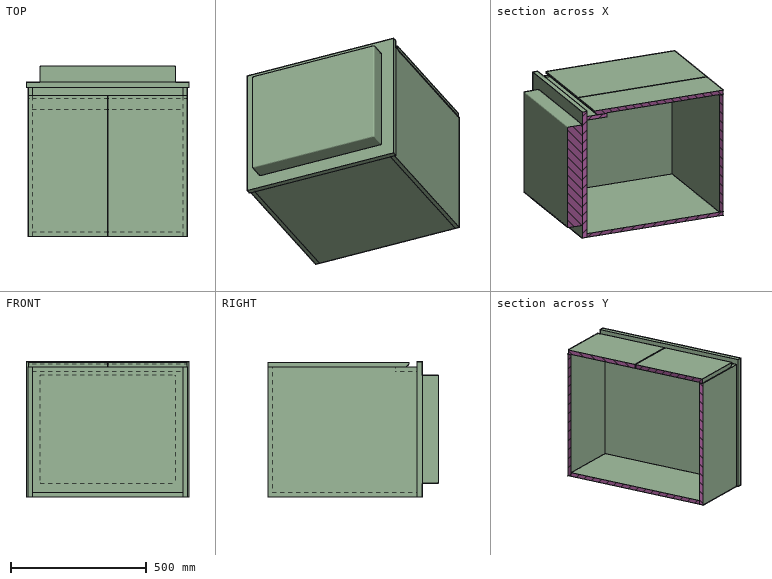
import cadquery as cq

TOTAL_LENGTH = 630.0

COUNTER_WIDTH = 600.0
COUNTER_DEPTH = 500.0
COUNTER_THICKNESS = 20.0

BASIN_WIDTH = 500.0
BASIN_DEPTH = 400.0
BASIN_HEIGHT = 60.0
BASIN_EDGE_RADIUS = 5.0

PANEL_THICKNESS = 16.5
COUNTER_OVERHANG = 5.5
RAIL_HEIGHT = 80.0

DOOR_THICKNESS = 17.0
DOOR_LENGTH = 521.0
DOOR_SIDE_REVEAL = 2.5
DOOR_GAP = 3.0
DOOR_SETBACK = 3.0
DOOR_BEVEL = 11.0

CARCASS_LENGTH = TOTAL_LENGTH - COUNTER_THICKNESS - BASIN_HEIGHT
CARCASS_WIDTH = COUNTER_WIDTH - 2 * COUNTER_OVERHANG
CARCASS_DEPTH = COUNTER_DEPTH - DOOR_SETBACK - DOOR_THICKNESS
INNER_WIDTH = CARCASS_WIDTH - 2 * PANEL_THICKNESS
INNER_DEPTH = CARCASS_DEPTH - PANEL_THICKNESS
DOOR_WIDTH = (CARCASS_WIDTH - DOOR_GAP) / 2 - DOOR_SIDE_REVEAL


def block(x_min, y_min, z_min, width, length, depth):
    """Box with its lowest corner at the given point and sizes along X, Y and Z."""
    return cq.Workplane("XY").box(width, length, depth, centered=False).translate((x_min, y_min, z_min))


def make_countertop():
    return block(-COUNTER_WIDTH / 2, CARCASS_LENGTH, 0, COUNTER_WIDTH, COUNTER_THICKNESS, COUNTER_DEPTH)


def make_basin():
    """Basin body with every edge rounded except those resting on the countertop."""
    z_min = (COUNTER_DEPTH - BASIN_DEPTH) / 2
    y_min = CARCASS_LENGTH + COUNTER_THICKNESS
    body = block(-BASIN_WIDTH / 2, y_min, z_min, BASIN_WIDTH, BASIN_HEIGHT, BASIN_DEPTH)
    return body.edges("|Y or >Y").fillet(BASIN_EDGE_RADIUS)


def make_side_panel(x_min):
    return block(x_min, 0, 0, PANEL_THICKNESS, CARCASS_LENGTH, CARCASS_DEPTH)


def make_back_panel():
    return block(-INNER_WIDTH / 2, 0, 0, INNER_WIDTH, CARCASS_LENGTH, PANEL_THICKNESS)


def make_base_panel():
    return block(-INNER_WIDTH / 2, 0, PANEL_THICKNESS, INNER_WIDTH, PANEL_THICKNESS, INNER_DEPTH)


def make_top_rail():
    """Rail between the sides, under the countertop and flush with the carcass front."""
    y_min = CARCASS_LENGTH - RAIL_HEIGHT
    z_min = INNER_DEPTH
    return block(-INNER_WIDTH / 2, y_min, z_min, INNER_WIDTH, RAIL_HEIGHT, PANEL_THICKNESS)


def make_door(x_min):
    """Door whose upper end is bevelled on the inner face as a finger grip."""
    door = block(x_min, 0, CARCASS_DEPTH, DOOR_WIDTH, DOOR_LENGTH, DOOR_THICKNESS)
    return door.edges(">Y and <Z").chamfer(DOOR_BEVEL)


countertop = make_countertop()
basin = make_basin()
side_panels = [make_side_panel(x_min) for x_min in (-CARCASS_WIDTH / 2, INNER_WIDTH / 2)]
back_panel = make_back_panel()
base_panel = make_base_panel()
top_rail = make_top_rail()
doors = [make_door(x_min) for x_min in (-DOOR_GAP / 2 - DOOR_WIDTH, DOOR_GAP / 2)]

result = cq.Compound.makeCompound([
    countertop.val(),
    basin.val(),
    *[panel.val() for panel in side_panels],
    back_panel.val(),
    base_panel.val(),
    top_rail.val(),
    *[door.val() for door in doors],
])